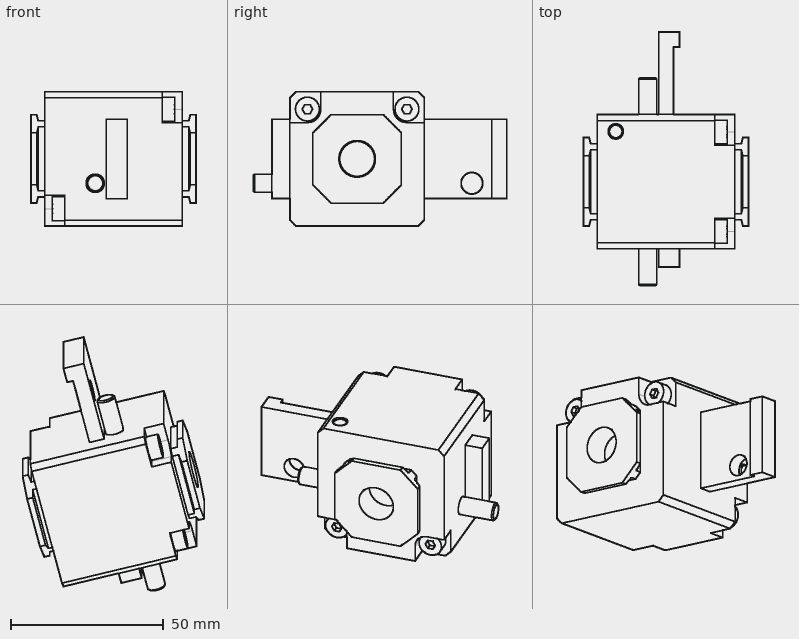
import cadquery as cq
import math


body_length = 45.0
body_side = 44.0
body_chamfer = 2.0
body_end = body_length / 2
body_half = body_side / 2

overall_length = 54.0
flange_side = 29.0
flange_corner = 6.0
flange_rim = 1.9
flange_bevel_length = 0.5
groove_depth = 2.0
flange_end = overall_length / 2
flange_half = flange_side / 2
neck_half = flange_half - groove_depth

port_mouth_diameter = 11.95
port_depth = 9.0
port_taper = 1 / 16

plate_front = -27.9
plate_back = 49.0
plate_height = 26.0
plate_left = -2.4
plate_right = 4.5
plate_thickness = 4.9
plate_hook_length = 5.0
plate_hole_diameter = 7.0
plate_hole_y = 37.5

pin_diameter = 6.0
pin_length = 68.1
pin_chamfer = 0.5
pin_x = -6.0
pin_z = -8.0

screw_offset = 16.3
screw_head_diameter = 7.8
screw_head_height = 4.1
socket_flats = 3.0
socket_depth = 2.0
pocket_depth = 6.55
pocket_radius = 4.4

top_hole_x = -16.4
top_hole_y = 16.4
top_hole_diameter = 4.15
top_hole_mouth_diameter = 5.0
top_hole_depth = 10.0


def make_body():
    block = cq.Workplane("XY").box(body_length, body_side, body_side)
    return block.edges("|X").chamfer(body_chamfer)


def make_flange():
    """Flange at the -X end: a square section with a groove and cut corners."""
    rim_inner = -flange_end + flange_rim
    groove_start = rim_inner + flange_bevel_length
    length = flange_end - body_end
    rim = cq.Workplane("YZ", origin=(-flange_end, 0, 0)).rect(flange_side, flange_side).extrude(flange_rim)
    bevel = (
        cq.Workplane("YZ", origin=(rim_inner, 0, 0))
        .rect(flange_side, flange_side)
        .workplane(offset=flange_bevel_length)
        .rect(2 * neck_half, 2 * neck_half)
        .loft(ruled=True)
    )
    neck = (
        cq.Workplane("YZ", origin=(groove_start, 0, 0))
        .rect(2 * neck_half, 2 * neck_half)
        .extrude(-body_end - groove_start)
    )
    octagon = (
        cq.Workplane("YZ", origin=(-flange_end, 0, 0))
        .rect(flange_side, flange_side)
        .extrude(length)
        .edges("|X")
        .chamfer(flange_corner)
    )
    return rim.union(bevel).union(neck).intersect(octagon)


def make_port():
    """Tapered blind port entering from the -X end."""
    floor_diameter = port_mouth_diameter - port_depth * port_taper
    cone = cq.Solid.makeCone(
        port_mouth_diameter / 2,
        floor_diameter / 2,
        port_depth,
        cq.Vector(-flange_end, 0, 0),
        cq.Vector(1, 0, 0),
    )
    return cq.Workplane(obj=cone)


def make_pocket(side):
    """Corner pocket at the bottom of the -X face, rounded around the screw axis."""
    inner = screw_offset - pocket_radius
    size = body_half - inner
    middle = side * (inner + size / 2)
    rounded_edge = cq.selectors.NearestToPointSelector((-body_end, side * inner, -inner))
    pocket = (
        cq.Workplane("YZ", origin=(-body_end, middle, -(inner + size / 2)))
        .rect(size, size)
        .extrude(pocket_depth)
    )
    return pocket.edges("|X").edges(rounded_edge).fillet(pocket_radius)


def make_screw(side):
    """Cap screw head standing on the pocket floor, with a hexagon socket."""
    head_face = -body_end + pocket_depth - screw_head_height
    plane = cq.Workplane("YZ", origin=(head_face, side * screw_offset, -screw_offset))
    head = plane.circle(screw_head_diameter / 2).extrude(screw_head_height)
    socket_corners = socket_flats / math.cos(math.pi / 6)
    socket = plane.polygon(6, socket_corners).extrude(socket_depth)
    return head.cut(socket)


def make_plate():
    """Flat plate, thinned from inside the housing up to the hook at its +Y end."""
    plate_middle = (plate_front + plate_back) / 2
    plate = cq.Workplane("XY").box(
        plate_right - plate_left, plate_back - plate_front, plate_height
    ).translate(((plate_left + plate_right) / 2, plate_middle, 0))
    step_x = plate_left + plate_thickness
    step_end = plate_back - plate_hook_length
    step = (
        cq.Workplane("XY")
        .box(plate_right - step_x, step_end, plate_height, centered=(False, False, True))
        .translate((step_x, 0, 0))
    )
    hole = (
        cq.Workplane("YZ", origin=(plate_left, plate_hole_y, pin_z))
        .circle(plate_hole_diameter / 2)
        .extrude(plate_right - plate_left)
    )
    return plate.cut(step).cut(hole)


def make_pin():
    pin = (
        cq.Workplane("XZ", origin=(pin_x, 0, pin_z))
        .circle(pin_diameter / 2)
        .extrude(pin_length / 2, both=True)
    )
    return pin.faces("<Y or >Y").chamfer(pin_chamfer)


def make_top_hole():
    return (
        cq.Workplane("XY", origin=(top_hole_x, top_hole_y, body_half))
        .circle(top_hole_diameter / 2)
        .extrude(-top_hole_depth)
    )


def make_top_hole_countersink():
    depth = (top_hole_mouth_diameter - top_hole_diameter) / 2
    cone = cq.Solid.makeCone(
        top_hole_mouth_diameter / 2,
        top_hole_diameter / 2,
        depth,
        cq.Vector(top_hole_x, top_hole_y, body_half),
        cq.Vector(0, 0, -1),
    )
    return cq.Workplane(obj=cone)


def opposite(shape):
    """The same shape at the +X end, turned half a turn about Y."""
    return shape.rotate((0, 0, 0), (0, 1, 0), 180)


part = make_body().cut(make_top_hole()).cut(make_top_hole_countersink())

flange = make_flange()
port = make_port()
for end_flange, end_port in ((flange, port), (opposite(flange), opposite(port))):
    part = part.union(end_flange).cut(end_port)

for side in (-1, 1):
    pocket = make_pocket(side)
    screw = make_screw(side)
    part = part.cut(pocket).union(screw)
    part = part.cut(opposite(pocket)).union(opposite(screw))

result = part.union(make_plate()).union(make_pin())